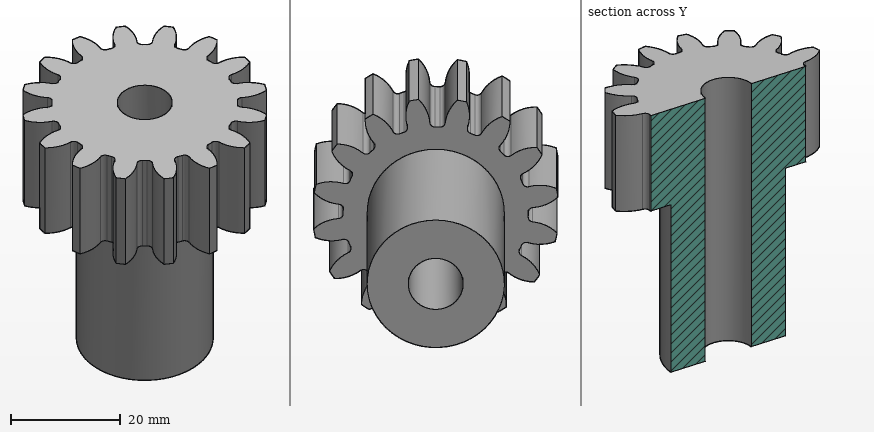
import cadquery as cq
import math

total_height = 55.0
gear_width = 20.0
hub_diameter = 25.0
bore_diameter = 10.0
hub_height = total_height - gear_width

tooth_count = 16
tip_diameter = 45.0
dedendum_factor = 1.25
root_fillet = 0.95

module = tip_diameter / (tooth_count + 2)
tip_radius = tip_diameter / 2
pitch_radius = module * tooth_count / 2
root_radius = pitch_radius - dedendum_factor * module
pitch_angle = 2 * math.pi / tooth_count

root_half_angle = math.radians(6.6)
pitch_half_angle = pitch_angle / 4
tip_half_angle = math.radians(2.2)


def polar(radius, angle):
    return radius * math.cos(angle), radius * math.sin(angle)


def gear_blank():
    """Toothed disc with a tooth gap centred on each of the X and Y axes."""
    profile = cq.Workplane("XY").workplane(offset=hub_height)
    profile = profile.moveTo(*polar(root_radius, pitch_angle / 2 - root_half_angle))
    for index in range(tooth_count):
        tooth_angle = (index + 0.5) * pitch_angle
        gap_angle = tooth_angle + pitch_angle / 2
        profile = profile.threePointArc(
            polar(pitch_radius, tooth_angle - pitch_half_angle),
            polar(tip_radius, tooth_angle - tip_half_angle),
        )
        profile = profile.threePointArc(
            polar(tip_radius, tooth_angle),
            polar(tip_radius, tooth_angle + tip_half_angle),
        )
        profile = profile.threePointArc(
            polar(pitch_radius, tooth_angle + pitch_half_angle),
            polar(root_radius, tooth_angle + root_half_angle),
        )
        profile = profile.threePointArc(
            polar(root_radius, gap_angle),
            polar(root_radius, tooth_angle + pitch_angle - root_half_angle),
        )
    return profile.close().extrude(gear_width)


def is_root_edge(edge):
    centre = edge.Center()
    return math.hypot(centre.x, centre.y) < pitch_radius


def gear():
    blank = gear_blank()
    root_edges = [edge for edge in blank.edges("|Z").vals() if is_root_edge(edge)]
    return blank.newObject(root_edges).fillet(root_fillet)


def hub():
    return cq.Workplane("XY").circle(hub_diameter / 2).extrude(hub_height)


def bore():
    return cq.Workplane("XY").circle(bore_diameter / 2).extrude(total_height)


result = gear().union(hub()).cut(bore())